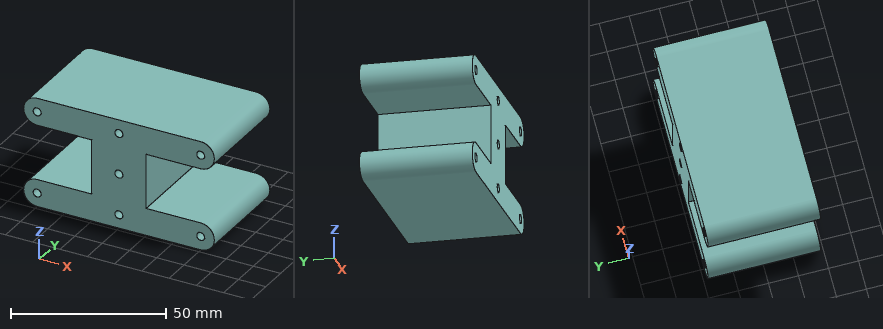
import cadquery as cq

length = 70.0
depth = 37.5
height = 40.0
bar_thickness = 10.0
web_width = 20.0
hole_diameter = 2.9

bar_center_z = (height - bar_thickness) / 2
end_center_x = (length - bar_thickness) / 2
bar_levels = (-bar_center_z, bar_center_z)
hole_centers = [(x, z) for z in bar_levels for x in (-end_center_x, 0, end_center_x)]
hole_centers.append((0, 0))


def round_ended_bar(center_z):
    """Bar along X with full-round ends, centred on Y."""
    return (
        cq.Workplane("XZ")
        .center(0, center_z)
        .slot2D(length, bar_thickness)
        .extrude(depth / 2, both=True)
    )


def through_holes():
    """Cylinders along Y at the bar ends, bar middles and web centre."""
    return (
        cq.Workplane("XZ")
        .pushPoints(hole_centers)
        .circle(hole_diameter / 2)
        .extrude(depth / 2, both=True)
    )


result = cq.Workplane("XY").box(web_width, depth, 2 * bar_center_z)
for level in bar_levels:
    result = result.union(round_ended_bar(level))
result = result.cut(through_holes())